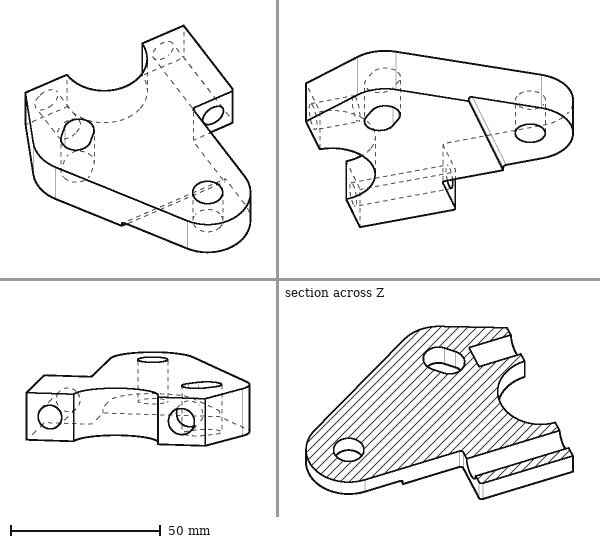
import cadquery as cq
import math

thickness = 16.0
seat_radius = 14.35
ear_width = 16.0
upper_ear_setback = 0.5
upper_ear_end_x = 34.0
corner_radius = 1.0

lobe_radius = 14.35
overall_length = 83.4
pivot_x = overall_length - lobe_radius
hole_diameter = 10.0
slot_x = 26.35
slot_y = -26.1
slot_travel = 4.0
slot_angle = 135

relief_start_x = 55.3
relief_depth = 2.0
upper_bolt_diameter = 8.0
lower_bolt_diameter = 8.8
lower_bolt_depth = 15.0

ear_outer_y = seat_radius + ear_width
ear_hole_y = seat_radius + ear_width / 2
mid_z = thickness / 2


def point_on_lobe(center_x, center_y, angle):
    return (center_x + lobe_radius * math.cos(angle), center_y + lobe_radius * math.sin(angle))


def make_plate():
    edge_angle = math.atan2(-slot_y, pivot_x - slot_x)
    edge_normal = edge_angle - math.pi / 2
    to_corner_angle = math.atan2(-ear_outer_y - slot_y, -slot_x)
    corner_distance = math.hypot(slot_x, ear_outer_y + slot_y)
    corner_normal = to_corner_angle + math.acos(lobe_radius / corner_distance)

    seat_top_y = math.sqrt(seat_radius**2 - upper_ear_setback**2)
    plate = (
        cq.Workplane("XY")
        .moveTo(0, -ear_outer_y)
        .lineTo(*point_on_lobe(slot_x, slot_y, corner_normal))
        .threePointArc(
            point_on_lobe(slot_x, slot_y, -math.pi / 2),
            point_on_lobe(slot_x, slot_y, edge_normal),
        )
        .lineTo(*point_on_lobe(pivot_x, 0, edge_normal))
        .threePointArc((pivot_x + lobe_radius, 0), (pivot_x, lobe_radius))
        .lineTo(upper_ear_end_x, lobe_radius)
        .lineTo(upper_ear_end_x, ear_outer_y)
        .lineTo(upper_ear_setback, ear_outer_y)
        .lineTo(upper_ear_setback, seat_top_y)
        .threePointArc((seat_radius, 0), (0, -seat_radius))
        .close()
        .extrude(thickness)
    )
    ear_end_corners = cq.selectors.BoxSelector(
        (upper_ear_end_x - corner_radius, lobe_radius - corner_radius, 0),
        (upper_ear_end_x + corner_radius, ear_outer_y + corner_radius, thickness),
    )
    return plate.edges("|Z").edges(ear_end_corners).fillet(corner_radius)


def make_relief():
    length = overall_length - relief_start_x
    return (
        cq.Workplane("XY")
        .box(length, 2 * overall_length, relief_depth, centered=(False, True, False))
        .edges("<X and >Z")
        .fillet(corner_radius)
        .translate((relief_start_x, 0, 0))
    )


def make_slot():
    travel_direction = math.radians(slot_angle)
    center_x = slot_x + slot_travel / 2 * math.cos(travel_direction)
    center_y = slot_y + slot_travel / 2 * math.sin(travel_direction)
    return (
        cq.Workplane("XY")
        .center(center_x, center_y)
        .slot2D(slot_travel + hole_diameter, hole_diameter, slot_angle)
        .extrude(thickness)
    )


def make_ear_bolt_hole(y, diameter, depth):
    return cq.Workplane("YZ").center(y, mid_z).circle(diameter / 2).extrude(depth)


pivot_hole = cq.Workplane("XY").center(pivot_x, 0).circle(hole_diameter / 2).extrude(thickness)

result = (
    make_plate()
    .cut(make_relief())
    .cut(make_slot())
    .cut(pivot_hole)
    .cut(make_ear_bolt_hole(ear_hole_y, upper_bolt_diameter, upper_ear_end_x))
    .cut(make_ear_bolt_hole(-ear_hole_y, lower_bolt_diameter, lower_bolt_depth))
)